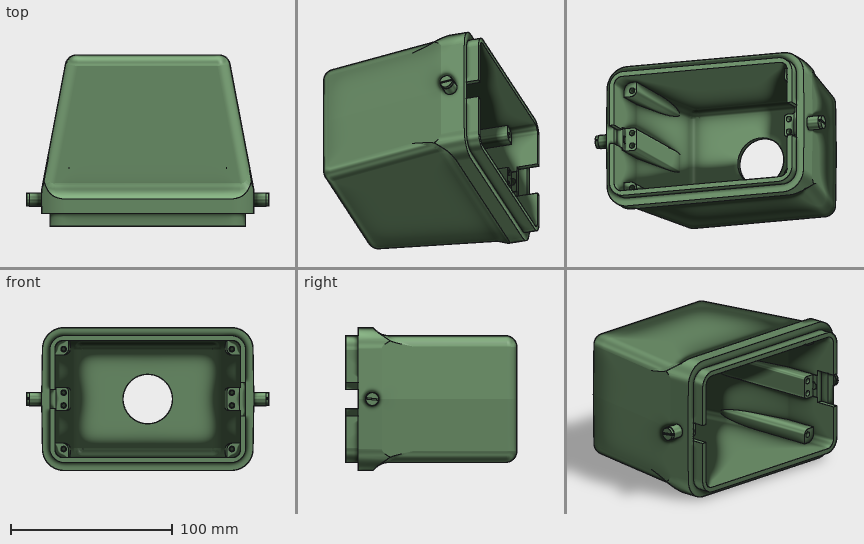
import cadquery as cq
import math


pin_span = 150.0
depth = 106.0
flange_height = 88.5

body_height = 78.6
body_half_width = 65.7
body_start = 22.7
side_slope = 0.19
side_draft = 0.016
body_round = 7.2

flange_front = 7.8
flange_back = 17.0
flange_corner = 13.5
cove_radius = 11.3

skirt_width = 121.2
skirt_height = 78.6
skirt_corner = 9.0

mouth_width = 114.9
mouth_height = 72.6
cavity_draft = 0.34
cavity_round = 5.3
back_wall = 3.8
side_wall = 5.5
cable_hole = 30.5

notch_end = 13.4
notch_inner_x = 54.6
left_notch_height = 11.7
right_notch_height = 20.7

post_front = 16.8
post_back = 104.1
post_inner_x = 49.0
post_outer_x = 64.5
post_draft = 1.0
centre_post_height = 14.3
centre_post_round = 2.1
corner_post_inner_z = 27.2
corner_post_round = 3.9
screw_x = 52.0
centre_screw_z = 3.98
corner_screw_z = 30.9
screw_mouth = 3.5
screw_bottom = 2.5
screw_depth = 15.0

pin_diameter = 8.4
pin_y = 16.5
pin_root_x = 62.3
pin_tip_diameter = 8.0
pin_tip_length = 2.0
slot_width = 0.9
slot_depth = 1.2
slot_tilt = 6.0
pad_x = 56.7
pin_bore = 4.8
pin_bore_depth = 7.5


def section(y):
    """Workplane across the hood at depth y, with local axes X and Z."""
    return cq.Workplane("XZ", origin=(0, y, 0))


def both_sides(part):
    """A part on the +X side together with its mirror image."""
    return part.union(part.mirror("YZ"))


def ridged_outline(ridge_x, half_height, draft):
    """Six corners of a section whose short sides peak at the parting line."""
    edge_x = ridge_x - draft * half_height
    return [
        (ridge_x, 0), (edge_x, half_height), (-edge_x, half_height),
        (-ridge_x, 0), (-edge_x, -half_height), (edge_x, -half_height),
    ]


def wedge(y_start, y_end, height, wall=0.0, draft=side_draft):
    """Block between the two tapered sides, each moved inwards by wall."""
    rings = []
    for y in (y_start, y_end):
        ridge_x = body_half_width - side_slope * (y - body_start) - wall
        outline = ridged_outline(ridge_x, height / 2, draft)
        rings.append([cq.Vector(x, y, z) for x, z in outline])
    front, back = rings
    loops = [front, back]
    for i in range(len(front)):
        loops.append([front[i - 1], front[i], back[i], back[i - 1]])
    faces = [cq.Face.makeFromWires(cq.Wire.makePolygon(loop, close=True)) for loop in loops]
    return cq.Workplane(cq.Solid.makeSolid(cq.Shell.makeShell(faces)))


def make_body():
    body = wedge(flange_front, depth, body_height)
    back_edges = body.faces(">Y").edges()
    long_edges = body.faces(">Z or <Z").edges("not(|X)")
    return body.newObject(back_edges.vals() + long_edges.vals()).fillet(body_round)


def make_body_with_flange():
    """Body and flange, with a cove where the 45 degree slope of the flange runs into the body."""
    top = flange_height / 2
    slope_sum = flange_back + top
    reach = pin_span

    upper_half = cq.Workplane().box(2 * reach, 2 * reach, reach, centered=(True, True, False))
    slab = (
        cq.Workplane("YZ")
        .moveTo(flange_front, 0)
        .lineTo(flange_front, top)
        .lineTo(flange_back, top)
        .lineTo(slope_sum, 0)
        .close()
        .extrude(reach, both=True)
    )
    upper = make_body().intersect(upper_half).union(slab)

    def meets_body(edge):
        ends = (edge.startPoint(), edge.endPoint())
        return all(abs(p.y + p.z - slope_sum) < 0.02 and abs(p.x) < body_half_width for p in ends)

    cove_edges = [edge for edge in upper.edges().vals() if meets_body(edge)]
    upper = upper.newObject(cove_edges).fillet(cove_radius)

    outline = ridged_outline(body_half_width, top, side_draft)
    flange = section(flange_front).polyline(outline).close().extrude(flange_front - depth)
    flange = flange.edges("|Y").edges(">Z or <Z").fillet(flange_corner)
    upper = upper.intersect(flange).intersect(wedge(flange_front, depth, flange_height))
    return upper.union(upper.mirror("XY"))


def make_skirt():
    outline = cq.Sketch().rect(skirt_width, skirt_height).vertices().fillet(skirt_corner)
    return section(0).placeSketch(outline).extrude(-body_start)


def make_cavity():
    """Drafted straight mouth that narrows with the tapered sides further back."""
    length = depth - back_wall
    straight = section(0).rect(mouth_width, mouth_height).extrude(-length, taper=cavity_draft)
    cavity = straight.intersect(wedge(0, length, mouth_height, side_wall, 0))
    cavity = cavity.edges("not(|X or |Z)").fillet(cavity_round)
    return cavity.faces(">Y").edges().fillet(cavity_round)


def make_notch(sign, height):
    outer_x = skirt_width / 2
    notch = cq.Workplane().box(outer_x - notch_inner_x, notch_end, height)
    return notch.translate((sign * (outer_x + notch_inner_x) / 2, notch_end / 2, 0))


def make_post(z_low, z_high, corner):
    """Post on the +X side, with its inner face leaning towards the middle as it runs back."""
    lean = (post_back - post_front) * math.tan(math.radians(post_draft))
    post = (
        cq.Workplane("XY", origin=(0, 0, z_low))
        .moveTo(post_outer_x, post_front)
        .lineTo(post_inner_x, post_front)
        .lineTo(post_inner_x - lean, post_back)
        .lineTo(post_outer_x, post_back)
        .close()
        .extrude(z_high - z_low)
    )
    return post.faces("<X").edges("not(|Z)").fillet(corner)


def make_posts():
    """Centre and corner posts on both short sides, running back until they sink into the walls."""
    half = centre_post_height / 2
    centre = make_post(-half, half, centre_post_round)
    corner = make_post(corner_post_inner_z, flange_height / 2, corner_post_round)
    return both_sides(centre.union(corner).union(corner.mirror("XY")))


def make_screw_holes():
    """Slightly conical blind holes in the front ends of the posts."""
    hole = cq.Solid.makeCone(
        screw_mouth / 2, screw_bottom / 2, screw_depth, cq.Vector(0, post_front, 0), cq.Vector(0, 1, 0)
    )
    rows = (-corner_screw_z, -centre_screw_z, centre_screw_z, corner_screw_z)
    spots = [(x, 0, z) for x in (-screw_x, screw_x) for z in rows]
    return cq.Workplane(cq.Compound.makeCompound([hole.translate(cq.Vector(*spot)) for spot in spots]))


def make_pads():
    """Thin pads on the cavity walls between the notches and the centre posts."""
    pad = cq.Workplane().box(pin_root_x - pad_x, post_front - notch_end, centre_post_height)
    return both_sides(pad.translate(((pad_x + pin_root_x) / 2, (post_front + notch_end) / 2, 0)))


def make_pin_bores():
    """Blind bores from the pads into the roots of the pins."""
    start = cq.Workplane("YZ", origin=(pad_x, pin_y, 0))
    return both_sides(start.circle(pin_bore / 2).extrude(pin_bore_depth))


def make_pins():
    """Stepped pins with a screwdriver slot across each end."""
    end_x = pin_span / 2
    root = cq.Workplane("YZ", origin=(pin_root_x, pin_y, 0))
    end = cq.Workplane("YZ", origin=(end_x, pin_y, 0))
    shank = root.circle(pin_diameter / 2).extrude(end_x - pin_tip_length - pin_root_x)
    tip = end.circle(pin_tip_diameter / 2).extrude(-pin_tip_length)
    slot = end.transformed(rotate=(0, 0, -slot_tilt)).rect(pin_diameter, slot_width).extrude(-slot_depth)
    return both_sides(shank.union(tip).cut(slot))


envelope = make_body_with_flange().union(make_skirt())
hood = envelope.cut(make_cavity())
hood = hood.cut(make_notch(-1, left_notch_height))
hood = hood.cut(make_notch(1, right_notch_height))
hood = hood.union(make_posts().intersect(envelope))
hood = hood.union(make_pads())
hood = hood.union(make_pins())
hood = hood.cut(make_pin_bores())
hood = hood.cut(make_screw_holes())
cable_entry = section(depth).circle(cable_hole / 2).extrude(2 * back_wall)
result = hood.cut(cable_entry)